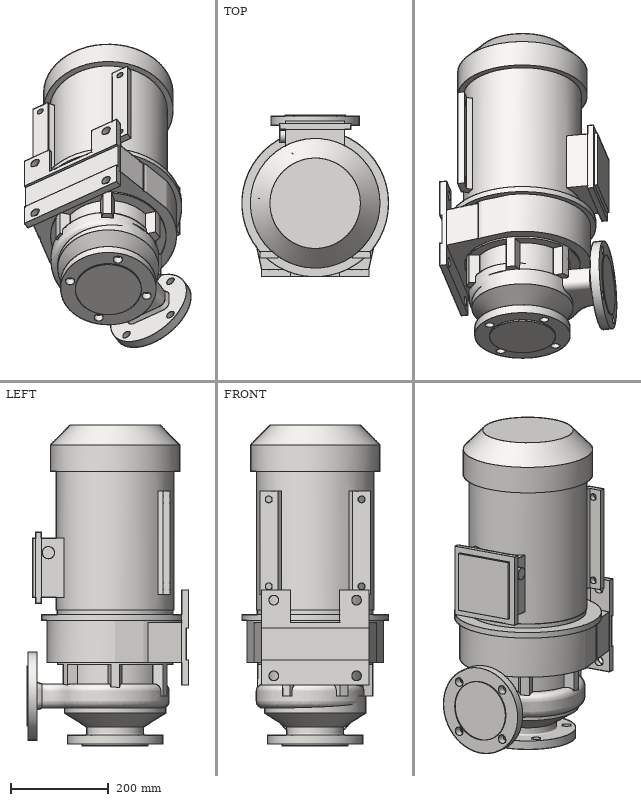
import cadquery as cq
import math

suction_face_z = 3.0
suction_flange_top = 21.5
neck_top = 38.0
casing_base = 67.0
volute_mid = 101.5
ring_base = 166.0
lantern_base = 169.5
bracket_top = 251.5
lantern_top = 256.0
flange_top = 268.0
body_base = 277.0
cowl_base = 560.0
cowl_shoulder = 614.5
motor_top = 655.0

flange_radius = 150.0
collar_radius = 118.5
body_radius = 120.5
cowl_radius = 132.0
cowl_top_radius = 92.5

foot_inner_x = 76.0
foot_outer_x = 112.5
foot_front_y = -112.0
foot_thickness = 14.0
foot_base = 308.5
foot_top = 520.0
foot_hole_x = 95.0
foot_hole_margin = 17.0
foot_hole_diameter = 14.0
foot_web_outer_x = 88.0
foot_web_front_y = -108.0
foot_web_inner_end = (65.5, -93.5)
foot_web_outer_end = (81.0, -83.0)

box_width = 120.5
box_base = 303.0
box_top = 424.0
box_y = 150.5
lid_overhang = 12.5
lid_y = 162.5
cover_y = 168.5
gland_diameter = 25.0
gland_y = 136.0
gland_z = 394.0

suction_face_radius = 67.5
suction_flange_radius = 97.5
suction_neck_radius = 58.0
suction_bolt_radius = 80.5
suction_bolt_diameter = 18.5
neck_fillet = 3.0
casing_radius = 103.5

volute_half_height = 25.0
volute_edge_fillet = 14.5
volute_start_radius = 125.0
volute_end_radius = 93.5
volute_start_angle = 135
volute_end_angle = 420
volute_steps = 6
outlet_half_width = 45.0
outlet_flare = 3.0
outlet_flare_length = 10.0
discharge_flange_y = 159.0
discharge_face_y = 178.0
discharge_end_y = 180.0
discharge_flange_radius = 90.5
discharge_face_radius = 61.5
discharge_bolt_radius = 74.0
discharge_bolt_diameter = 18.0
bolts_per_flange = 4
first_bolt_angle = 45

hub_radius = 97.5
rib_radius = 118.0
rib_tip_width = 18.0
rib_root_width = 29.0
rib_count = 6
lantern_radius = 139.5
flat_end_y = -59.0
bracket_back_y = -67.0

flat_end_x = math.sqrt(lantern_radius**2 - flat_end_y**2)
side_slope = (lantern_radius - flat_end_x) / -flat_end_y

plate_half_width = 110.0
plate_front_y = -flange_radius
plate_thickness = 14.5
plate_base = 124.0
plate_top = 318.5
plate_slot_width = 100.0
plate_recess_depth = 4.5
plate_recess_base = 175.5
plate_recess_top = 240.5
plate_hole_x = 84.5
plate_hole_zs = (143.0, 297.5)
plate_hole_diameter = 19.5


def block(x0, x1, y0, y1, z0, z1):
    """Box between two opposite corners."""
    return cq.Workplane("XY").box(x1 - x0, y1 - y0, z1 - z0, centered=False).translate((x0, y0, z0))


def disc(radius, z0, z1):
    """Cylinder on the shaft axis between two heights."""
    return cq.Workplane("XY").workplane(offset=z0).circle(radius).extrude(z1 - z0)


def prism(outline, z0, z1):
    """Upright prism over a closed polygon."""
    return cq.Workplane("XY").workplane(offset=z0).polyline(outline).close().extrude(z1 - z0)


def disc_along_y(radius, y0, y1, x, z):
    """Cylinder parallel to Y between two Y positions."""
    return cq.Workplane("XZ", origin=(x, y0, z)).circle(radius).extrude(y0 - y1)



def motor_frame():
    """Flange, collar, body and fan cowl as one turned shape."""
    profile = [
        (0, lantern_top),
        (flange_radius, lantern_top),
        (flange_radius, flange_top),
        (collar_radius, flange_top),
        (collar_radius, body_base),
        (body_radius, body_base),
        (body_radius, cowl_base),
        (cowl_radius, cowl_base),
        (cowl_radius, cowl_shoulder),
        (cowl_top_radius, motor_top),
        (0, motor_top),
    ]
    return cq.Workplane("XZ").polyline(profile).close().revolve(360, (0, 0, 0), (0, 1, 0))


def motor_foot():
    """Right-hand foot: a drilled pad on a slanting web."""
    foot_back_y = foot_front_y + foot_thickness
    pad = block(foot_inner_x, foot_outer_x, foot_front_y, foot_back_y, foot_base, foot_top)
    web_outline = [
        (foot_inner_x, foot_web_front_y),
        foot_web_inner_end,
        foot_web_outer_end,
        (foot_web_outer_x, foot_back_y),
        (foot_web_outer_x, foot_web_front_y),
    ]
    web = prism(web_outline, foot_base, foot_top)
    foot = pad.union(web)
    for hole_z in (foot_base + foot_hole_margin, foot_top - foot_hole_margin):
        foot = foot.cut(disc_along_y(foot_hole_diameter / 2, foot_front_y, foot_back_y, foot_hole_x, hole_z))
    return foot


def terminal_box():
    """Box behind the motor with a lid, a cover plate and a cable gland."""
    half_width = box_width / 2
    lid_half_width = half_width + lid_overhang
    box = block(-half_width, half_width, 0, box_y, box_base, box_top)
    lid_base = box_base - lid_overhang
    lid_top = box_top + lid_overhang
    lid = block(-lid_half_width, lid_half_width, box_y, lid_y, lid_base, lid_top)
    cover = block(-half_width, half_width, lid_y, cover_y, box_base, box_top)
    gland = (
        cq.Workplane("YZ", origin=(-lid_half_width, gland_y, gland_z))
        .circle(gland_diameter / 2)
        .extrude(lid_half_width)
    )
    return box.union(lid).union(cover).union(gland)


def make_motor():
    right_foot = motor_foot()
    left_foot = right_foot.mirror("YZ")
    return motor_frame().union(right_foot).union(left_foot).union(terminal_box())



def bolt_positions(radius):
    """Evenly spaced bolt centres on a pitch circle."""
    angles = [math.radians(first_bolt_angle + i * 360 / bolts_per_flange) for i in range(bolts_per_flange)]
    return [(radius * math.cos(a), radius * math.sin(a)) for a in angles]


def suction_end():
    """Suction flange, neck, cone and lower casing as one turned shape, with bolt holes."""
    flare_radius = suction_neck_radius + neck_fillet
    profile = (
        cq.Workplane("XZ")
        .lineTo(suction_face_radius, 0)
        .lineTo(suction_face_radius, suction_face_z)
        .lineTo(suction_flange_radius, suction_face_z)
        .lineTo(suction_flange_radius, suction_flange_top)
        .lineTo(flare_radius, suction_flange_top)
        .radiusArc((suction_neck_radius, suction_flange_top + neck_fillet), neck_fillet)
        .lineTo(suction_neck_radius, neck_top)
        .lineTo(casing_radius, casing_base)
        .lineTo(casing_radius, volute_mid)
        .lineTo(0, volute_mid)
        .close()
    )
    bolts = (
        cq.Workplane("XY")
        .pushPoints(bolt_positions(suction_bolt_radius))
        .circle(suction_bolt_diameter / 2)
        .extrude(suction_flange_top)
    )
    return profile.revolve(360, (0, 0, 0), (0, 1, 0)).cut(bolts)


def volute():
    """Shrinking spiral with rounded edges that opens into the outlet duct."""
    spiral = []
    for i in range(volute_steps + 1):
        share = i / volute_steps
        angle = math.radians(volute_start_angle + share * (volute_end_angle - volute_start_angle))
        radius = volute_start_radius + share * (volute_end_radius - volute_start_radius)
        spiral.append((radius * math.cos(angle), radius * math.sin(angle)))
    duct_end_y = discharge_flange_y - outlet_flare_length
    return (
        cq.Workplane("XY", origin=(0, 0, volute_mid - volute_half_height))
        .moveTo(-outlet_half_width, duct_end_y)
        .spline(spiral, tangents=[(0, -1)] + [None] * len(spiral), includeCurrent=True)
        .lineTo(outlet_half_width, duct_end_y)
        .close()
        .extrude(2 * volute_half_height)
        .faces("|Z")
        .edges("not(>Y)")
        .fillet(volute_edge_fillet)
    )


def outlet_collar():
    """Flare between the outlet duct and the discharge flange."""
    duct_end_y = discharge_flange_y - outlet_flare_length
    flare_half_width = outlet_half_width + outlet_flare
    flare_half_height = volute_half_height + outlet_flare
    duct = cq.Sketch().rect(2 * outlet_half_width, 2 * volute_half_height)
    flare = cq.Sketch().rect(2 * flare_half_width, 2 * flare_half_height)
    flare_place = cq.Location(cq.Vector(0, 0, -outlet_flare_length))
    return (
        cq.Workplane("XZ", origin=(0, duct_end_y, volute_mid))
        .placeSketch(
            duct.vertices().fillet(volute_edge_fillet),
            flare.vertices().fillet(volute_edge_fillet).moved(flare_place),
        )
        .loft()
    )


def discharge_flange():
    """Vertical discharge flange with a raised face and bolt holes."""
    flange = disc_along_y(discharge_flange_radius, discharge_flange_y, discharge_face_y, 0, volute_mid)
    face = disc_along_y(discharge_face_radius, discharge_face_y, discharge_end_y, 0, volute_mid)
    hole_radius = discharge_bolt_diameter / 2
    for x, z in bolt_positions(discharge_bolt_radius):
        hole = disc_along_y(hole_radius, discharge_flange_y, discharge_face_y, x, volute_mid + z)
        flange = flange.cut(hole)
    return flange.union(face)


def ribbed_hub():
    """Hub with tapered radial ribs that carry the lantern."""
    hub = disc(hub_radius, volute_mid, ring_base)
    rib_outline = [
        (hub_radius, -rib_root_width / 2),
        (rib_radius, -rib_tip_width / 2),
        (rib_radius, rib_tip_width / 2),
        (hub_radius, rib_root_width / 2),
        (0, 0),
    ]
    envelope = disc(rib_radius, volute_mid, ring_base)
    for i in range(rib_count):
        rib = prism(rib_outline, volute_mid, ring_base).rotate((0, 0, 0), (0, 0, 1), i * 360 / rib_count)
        hub = hub.union(rib.intersect(envelope))
    return hub.union(disc(rib_radius, ring_base, lantern_base))


def side_x(y):
    """Half width of the lantern along its slanting side."""
    return lantern_radius + side_slope * y


def lantern():
    """Round lantern with a flat on each side, and a tapered bracket in front."""
    body = disc(lantern_radius, lantern_base, lantern_top)
    plate_back_y = plate_front_y + plate_thickness
    for side in (-1, 1):
        offcut = [
            (side * lantern_radius, 0),
            (side * side_x(flat_end_y), flat_end_y),
            (side * flange_radius, flat_end_y),
            (side * flange_radius, 0),
        ]
        body = body.cut(prism(offcut, lantern_base, lantern_top))
    bracket = [
        (-side_x(bracket_back_y), bracket_back_y),
        (side_x(bracket_back_y), bracket_back_y),
        (side_x(plate_back_y), plate_back_y),
        (-side_x(plate_back_y), plate_back_y),
    ]
    return body.union(prism(bracket, lantern_base, bracket_top))


def mounting_plate():
    """Front plate with two lugs, a recessed band and four bolt holes."""
    plate_back_y = plate_front_y + plate_thickness
    recess_y = plate_front_y + plate_recess_depth
    half_slot = plate_slot_width / 2
    plate = block(-plate_half_width, plate_half_width, plate_front_y, plate_back_y, plate_base, plate_top)
    slot = block(-half_slot, half_slot, plate_front_y, plate_back_y, bracket_top, plate_top)
    recess = block(
        -plate_half_width, plate_half_width, plate_front_y, recess_y, plate_recess_base, plate_recess_top
    )
    plate = plate.cut(slot).cut(recess)
    for x in (-plate_hole_x, plate_hole_x):
        for z in plate_hole_zs:
            plate = plate.cut(disc_along_y(plate_hole_diameter / 2, plate_front_y, plate_back_y, x, z))
    return plate


def make_pump():
    """Pump with its lugs relieved where the motor flange passes between them."""
    pump = suction_end().union(volute()).union(outlet_collar()).union(discharge_flange())
    pump = pump.union(ribbed_hub()).union(lantern()).union(mounting_plate())
    return pump.cut(disc(flange_radius, lantern_top, plate_top))


motor = make_motor()
pump = make_pump()
result = cq.Compound.makeCompound([motor.solids().val(), pump.solids().val()])